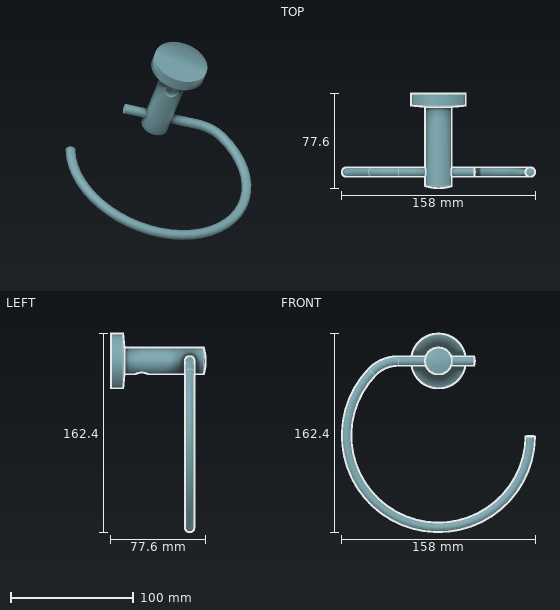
import cadquery as cq
import math


ring_radius = 75.0
rod_diameter = 8.0
bar_height = 60.9
bar_right = 29.0
bar_left = -33.0
ring_offset = 64.3
ring_end_drop = 0.8
rod_dome_height = 0.8

post_diameter = 22.1
post_length = 77.6
post_dome_height = 1.8
post_edge_radius = 0.5
screw_hole_diameter = 11.0
screw_hole_offset = 25.2

rosette_diameter = 45.0
rosette_thickness = 11.5
rosette_dome_height = 1.5
rosette_edge_radius = 0.3

bend_radius = (ring_radius**2 - bar_left**2 - bar_height**2) / (2 * (ring_radius - bar_height))
bend_centre_z = bar_height - bend_radius
bend_end_angle = math.atan2(bend_centre_z, bar_left)
ring_end_angle = -math.asin(ring_end_drop / ring_radius)


def circle_point(radius, angle, centre_x=0.0, centre_z=0.0):
    """Point on a circle in the ring plane, as X and Z."""
    return (centre_x + radius * math.cos(angle), centre_z + radius * math.sin(angle))


def make_dome(diameter, height):
    """Shallow spherical cap on the plane Z = 0, its tip up."""
    radius = diameter / 2
    sphere_radius = (radius**2 + height**2) / (2 * height)
    half_angle = math.asin(radius / sphere_radius) / 2
    arc_middle = (
        sphere_radius * math.sin(half_angle),
        height - sphere_radius * (1 - math.cos(half_angle)),
    )
    return (
        cq.Workplane("XZ")
        .lineTo(radius, 0)
        .threePointArc(arc_middle, (0, height))
        .close()
        .revolve(360, (0, 0), (0, 1))
    )


def domed_cylinder(diameter, length, dome_height, edge_radius):
    """Cylinder along +Z from the origin, its far end a shallow dome with a rounded edge."""
    shoulder = length - dome_height
    dome = make_dome(diameter, dome_height).translate((0, 0, shoulder))
    cylinder = cq.Workplane("XY").circle(diameter / 2).extrude(shoulder)
    return cylinder.union(dome).faces("%CYLINDER").edges(">Z").fillet(edge_radius)


def on_wall(body):
    """Turn a body's +Z axis to -Y and lift it to the height of the bar."""
    return body.rotate((0, 0, 0), (1, 0, 0), 90).translate((0, 0, bar_height))


def make_post_blank():
    """Domed post without its holes, reaching the wall."""
    return on_wall(domed_cylinder(post_diameter, post_length, post_dome_height, post_edge_radius))


def make_rosette():
    """Domed wall disc, bored through for the post."""
    disc = domed_cylinder(rosette_diameter, rosette_thickness, rosette_dome_height, rosette_edge_radius)
    return on_wall(disc).cut(make_post_blank())


def make_ring():
    """Round rod: straight bar, transition bend, then the big bend round to the right-hand side."""
    bend_middle_angle = (math.pi / 2 + bend_end_angle) / 2
    ring_middle_angle = (bend_end_angle + ring_end_angle) / 2 + math.pi
    ring_end = circle_point(ring_radius, ring_end_angle)
    path = (
        cq.Workplane("XZ", origin=(0, -ring_offset, 0))
        .moveTo(bar_right, bar_height)
        .lineTo(bar_left, bar_height)
        .threePointArc(
            circle_point(bend_radius, bend_middle_angle, bar_left, bend_centre_z),
            circle_point(ring_radius, bend_end_angle),
        )
        .threePointArc(circle_point(ring_radius, ring_middle_angle), ring_end)
    )
    rod = (
        cq.Workplane("YZ", origin=(bar_right, -ring_offset, bar_height))
        .circle(rod_diameter / 2)
        .sweep(path)
    )
    dome = make_dome(rod_diameter, rod_dome_height)
    bar_end_dome = dome.rotate((0, 0, 0), (0, 1, 0), 90).translate((bar_right, -ring_offset, bar_height))
    bend_end_dome = (
        dome.rotate((0, 0, 0), (0, 1, 0), -math.degrees(ring_end_angle))
        .translate((ring_end[0], -ring_offset, ring_end[1]))
    )
    return rod.union(bar_end_dome).union(bend_end_dome)


def make_post(ring):
    """Domed post with a cross hole for the ring and a screw hole from below, down to its axis."""
    screw_hole = (
        cq.Workplane("XY", origin=(0, -screw_hole_offset, bar_height))
        .circle(screw_hole_diameter / 2)
        .extrude(-post_diameter)
    )
    return make_post_blank().cut(screw_hole).cut(ring)


rosette = make_rosette()
ring = make_ring()
post = make_post(ring)

result = cq.Compound.makeCompound([rosette.val(), post.val(), ring.val()])